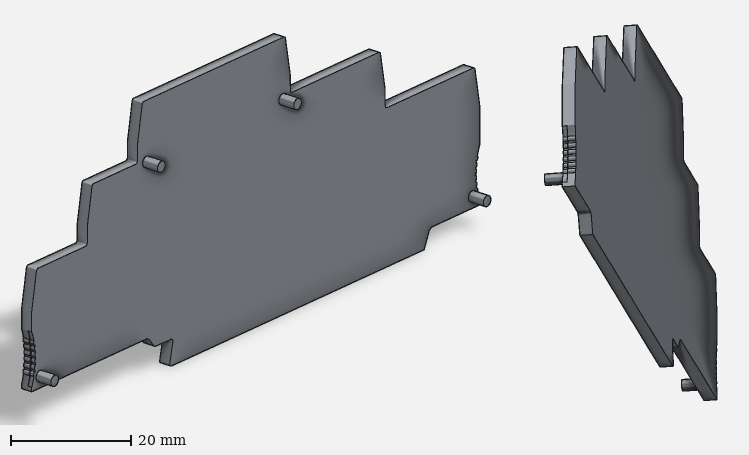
import cadquery as cq
import math

length = 115.6
height = 49.9
plate_thickness = 2.2
half_length = length / 2
top_z = height / 2
foot_z = -height / 2

tier_rise = 10.6
wall_lean_height = 7.3
wall_lean_angle = 10.0
wall_lean = wall_lean_height * math.tan(math.radians(wall_lean_angle))
small_radius = 0.5
tier_walls = [(8.9, -30.5), (33.4, -43.5), (half_length, -half_length)]
tier_tops = [top_z - tier_rise * step for step in range(len(tier_walls))]

left_end_z = -21.5
right_end_z = -18.0
left_foot_y = 43.5
left_flank_y = 45.0
underside_radius = 1.0
ledge_z = -20.1
foot_hook_y = -22.3
foot_root_y = -21.3
ledge_end_y = -26.1
ramp_end_y = -27.7

hollow_chord = 9.9
hollow_layer = 1.4
hollow_depth_outer = 0.8
hollow_depth_inner = 1.0
hollow_above_end = 5.8

rib_count = 6
rib_pitch = 1.2
rib_diameter = 1.0
rib_proud = 0.2

pin_diameter = 2.0
pin_length = 3.2
pin_places = [(55.8, -19.3), (6.9, 13.9), (-28.2, 13.9), (-55.7, -15.8)]


def tier_side(side):
    """Outline points down one side of the tiers; side 0 is +Y and side 1 is -Y."""
    inward = -1 if side == 0 else 1
    points = []
    for index, top in enumerate(tier_tops):
        wall = tier_walls[index][side]
        points.append((wall + inward * wall_lean, top))
        points.append((wall, top - wall_lean_height))
        if index + 1 < len(tier_tops):
            points.append((wall, tier_tops[index + 1]))
    return points


def round_corners(body, corners, radius):
    """Round the edges along X that pass through the given (Y, Z) corners."""
    for y, z in corners:
        edge = cq.selectors.NearestToPointSelector((plate_thickness / 2, y, z))
        body = body.edges("|X").edges(edge).fillet(radius)
    return body


def make_plate():
    left_side = tier_side(0)
    right_side = tier_side(1)
    underside = [
        (-half_length, right_end_z),
        (ramp_end_y, right_end_z),
        (ledge_end_y, ledge_z),
        (foot_root_y, ledge_z),
        (foot_hook_y, foot_z),
        (left_foot_y, foot_z),
        (left_flank_y, left_end_z),
        (half_length, left_end_z),
    ]
    outline = right_side + underside + left_side[::-1]
    plate = cq.Workplane("YZ").polyline(outline).close().extrude(plate_thickness)

    bends = [(walls[side], top - wall_lean_height)
             for walls, top in zip(tier_walls, tier_tops) for side in (0, 1)]
    tier_corners = [point for point in left_side + right_side if point not in bends]
    plate = round_corners(plate, tier_corners, small_radius)
    plate = round_corners(plate, [(foot_root_y, ledge_z), (foot_hook_y, foot_z)], small_radius)
    ramp_and_flank = [
        (ramp_end_y, right_end_z),
        (ledge_end_y, ledge_z),
        (left_flank_y, left_end_z),
    ]
    return round_corners(plate, ramp_and_flank, underside_radius)


def rib_places(end, arc_radius, arc_y, centre_z):
    """Rib axes, evenly pitched up the hollow and sunk just behind its curved face."""
    axis_radius = arc_radius + rib_diameter / 2 - rib_proud
    places = []
    for index in range(rib_count):
        rise = (index - (rib_count - 1) / 2) * rib_pitch
        axis_y = arc_y - end * math.sqrt(axis_radius ** 2 - rise ** 2)
        places.append((axis_y, centre_z + rise))
    return places


def cut_hollow(body, end, centre_z, depth, start_x, width):
    """Cut one layer of an end hollow to the given depth and leave grip ribs standing on it."""
    arc_radius = ((hollow_chord / 2) ** 2 + depth ** 2) / (2 * depth)
    arc_y = end * (half_length + arc_radius - depth)
    layer = cq.Workplane("YZ", origin=(start_x, 0, 0))
    cutter = layer.center(arc_y, centre_z).circle(arc_radius).extrude(width)
    places = rib_places(end, arc_radius, arc_y, centre_z)
    ribs = layer.pushPoints(places).circle(rib_diameter / 2).extrude(width)
    return body.cut(cutter.cut(ribs))


def cut_hollows(body):
    inner_width = plate_thickness - hollow_layer
    for end, end_z in ((1, left_end_z), (-1, right_end_z)):
        centre_z = end_z + hollow_above_end
        body = cut_hollow(body, end, centre_z, hollow_depth_outer, 0, hollow_layer)
        body = cut_hollow(body, end, centre_z, hollow_depth_inner, hollow_layer, inner_width)
    return body


def make_pins():
    return (
        cq.Workplane("YZ", origin=(plate_thickness, 0, 0))
        .pushPoints(pin_places)
        .circle(pin_diameter / 2)
        .extrude(pin_length)
    )


result = cut_hollows(make_plate()).union(make_pins())